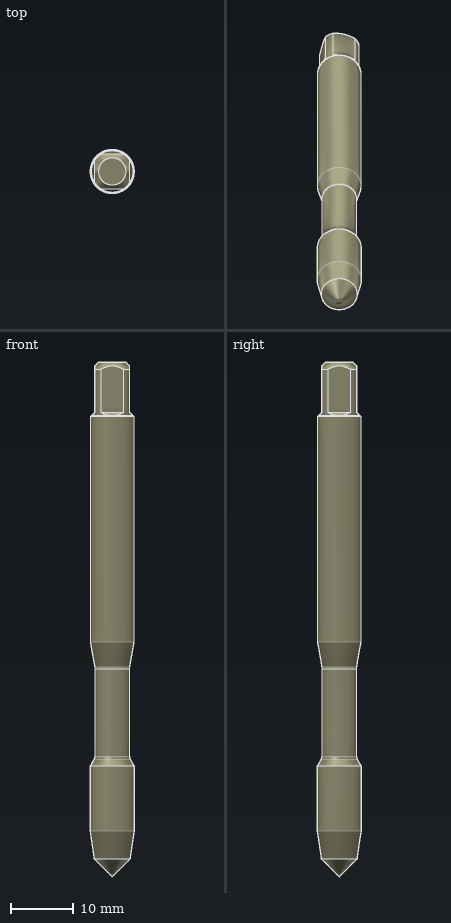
import cadquery as cq
import math

length = 82.7

shank_diameter = 7.0
square_round_diameter = 6.7
square_width = 5.6
end_face_diameter = 4.4
shank_top = 73.9
shank_bottom = 37.7
flat_count = 4

neck_diameter = 5.6
neck_top = 33.7
joint_height = 33.4

head_diameter = 7.1
head_top = 17.8
shoulder_angle = math.radians(30)
shoulder_fillet = 1.0
lead_top = 7.4
lead_end_diameter = 5.8
point_height = lead_end_diameter / 2

shoulder_top = head_top + (head_diameter - neck_diameter) / 2 / math.tan(shoulder_angle)

end_chamfer = (square_round_diameter - end_face_diameter) / 2
square_shoulder = (shank_diameter - square_round_diameter) / 2
square_bottom = shank_top + square_shoulder
flat_bottom = square_bottom + (square_round_diameter - square_width) / 2


def revolve_profile(points):
    """Turn an outline of (radius, height) points about the Z axis."""
    return cq.Workplane("XZ").polyline(points).close().revolve(360, (0, 0), (0, 1))


def make_flat_cutter():
    """Block that removes one flat, with a 45 degree run-out at its lower end."""
    inner = square_width / 2
    outer = shank_diameter / 2
    runout_bottom = flat_bottom - (outer - inner)
    outline = [(inner, flat_bottom), (outer, runout_bottom), (outer, length), (inner, length)]
    return cq.Workplane("XZ").polyline(outline).close().extrude(shank_diameter / 2, both=True)


def make_shank():
    """Shank down to the top of the neck, with the driving square cut at the top."""
    body = revolve_profile([
        (0, joint_height),
        (neck_diameter / 2, joint_height),
        (neck_diameter / 2, neck_top),
        (shank_diameter / 2, shank_bottom),
        (shank_diameter / 2, shank_top),
        (square_round_diameter / 2, square_bottom),
        (square_round_diameter / 2, length - end_chamfer),
        (end_face_diameter / 2, length),
        (0, length),
    ])
    cutter = make_flat_cutter()
    for index in range(flat_count):
        angle = index * 360 / flat_count
        body = body.cut(cutter.rotate((0, 0, 0), (0, 0, 1), angle))
    return body


def make_cutting_head():
    """Neck and cutting head, with a filleted shoulder, tapered lead and conical point."""
    neck_radius = neck_diameter / 2
    fillet_top = shoulder_top + shoulder_fillet * math.tan(shoulder_angle / 2)

    def fillet_point(angle):
        """Point of the fillet arc, turned by the angle from its upper tangent point."""
        radius = neck_radius + shoulder_fillet * (1 - math.cos(angle))
        return (radius, fillet_top - shoulder_fillet * math.sin(angle))

    outline = (
        cq.Workplane("XZ")
        .lineTo(lead_end_diameter / 2, point_height)
        .lineTo(head_diameter / 2, lead_top)
        .lineTo(head_diameter / 2, head_top)
        .lineTo(*fillet_point(shoulder_angle))
        .threePointArc(fillet_point(shoulder_angle / 2), (neck_radius, fillet_top))
        .lineTo(neck_radius, joint_height)
        .lineTo(0, joint_height)
        .close()
    )
    return outline.revolve(360, (0, 0), (0, 1))


shank = make_shank()
cutting_head = make_cutting_head()

result = cq.Compound.makeCompound([shank.val(), cutting_head.val()])